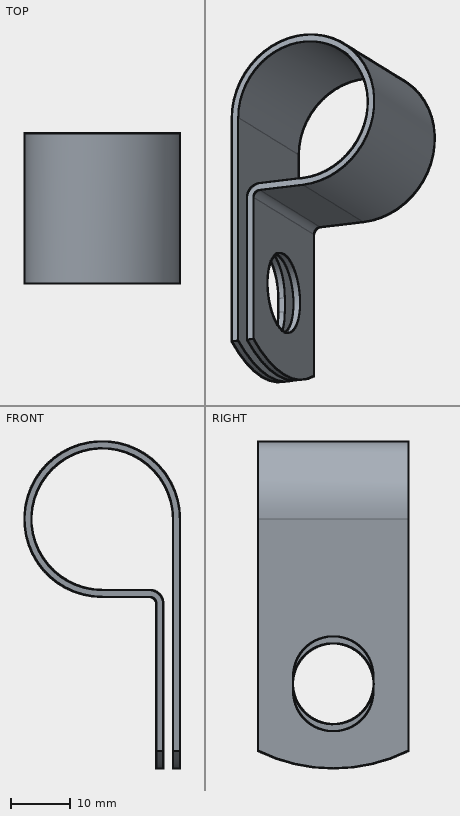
import cadquery as cq
import math

total_height = 55.15
strap_width = 25.4
thickness = 1.2
loop_radius = 13.15
leg_gap = 1.6
bend_radius = 2.35
hole_diameter = 13.55
hole_drop = 27.75
slot_travel = 2.4
end_sagitta = 3.0

bore_radius = loop_radius - thickness
bottom_z = loop_radius - total_height
short_leg_outer_x = bore_radius - leg_gap
short_leg_inner_x = short_leg_outer_x - thickness
bend_x = short_leg_outer_x - bend_radius
bend_z = -bore_radius - bend_radius
bend_inner_radius = bend_radius - thickness
half_width = strap_width / 2
diagonal = math.sqrt(0.5)


def make_strap():
    """Bent strip: long leg, three-quarter loop, flat shelf and short leg."""
    return (
        cq.Workplane("XZ")
        .moveTo(loop_radius, bottom_z)
        .lineTo(loop_radius, 0)
        .threePointArc((-loop_radius * diagonal, loop_radius * diagonal), (0, -loop_radius))
        .lineTo(bend_x, -loop_radius)
        .threePointArc(
            (bend_x + bend_inner_radius * diagonal, bend_z + bend_inner_radius * diagonal),
            (short_leg_inner_x, bend_z),
        )
        .lineTo(short_leg_inner_x, bottom_z)
        .lineTo(short_leg_outer_x, bottom_z)
        .lineTo(short_leg_outer_x, bend_z)
        .threePointArc(
            (bend_x + bend_radius * diagonal, bend_z + bend_radius * diagonal),
            (bend_x, -bore_radius),
        )
        .lineTo(0, -bore_radius)
        .threePointArc((-bore_radius * diagonal, bore_radius * diagonal), (bore_radius, 0))
        .lineTo(bore_radius, bottom_z)
        .close()
        .extrude(half_width, both=True)
    )


def make_side_outline():
    """Block along X with the rounded lower end shared by both legs."""
    corner_z = bottom_z + end_sagitta
    return (
        cq.Workplane("YZ")
        .moveTo(-half_width, loop_radius)
        .lineTo(-half_width, corner_z)
        .threePointArc((0, bottom_z), (half_width, corner_z))
        .lineTo(half_width, loop_radius)
        .close()
        .extrude(loop_radius, both=True)
    )


def make_round_hole():
    """Round hole along X through the short leg."""
    return (
        cq.Workplane("YZ", origin=(short_leg_inner_x, 0, -hole_drop))
        .circle(hole_diameter / 2)
        .extrude(thickness)
    )


def make_adjustment_slot():
    """Upright slot along X through the long leg, centred on the round hole."""
    return (
        cq.Workplane("YZ", origin=(bore_radius, 0, -hole_drop))
        .slot2D(hole_diameter + slot_travel, hole_diameter, 90)
        .extrude(thickness)
    )


result = (
    make_strap()
    .intersect(make_side_outline())
    .cut(make_round_hole())
    .cut(make_adjustment_slot())
)